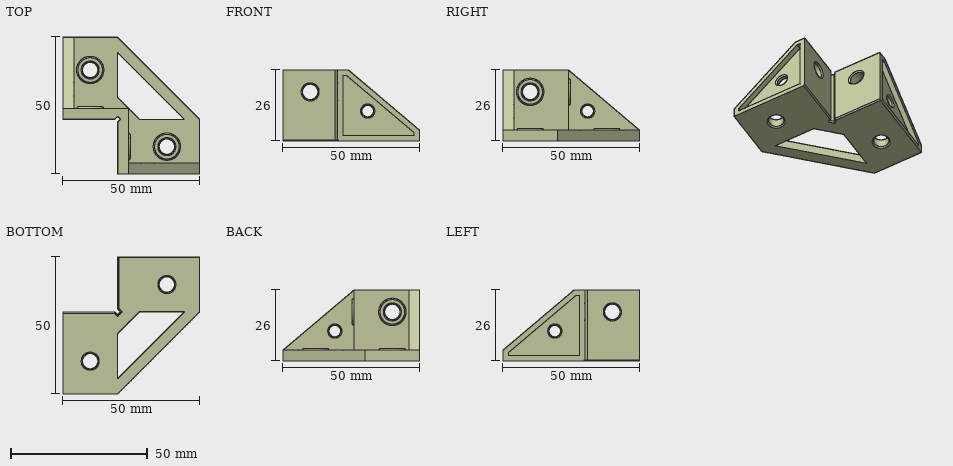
import cadquery as cq
import math

size = 50.0
height = 26.0
wall = 4.0
corner = 20.0
wall_back = corner + wall

edge_chamfer = 0.5
relief = 1.0
rim = 2.0
pocket_depth = 2.0

bolt_dia = 5.6
gusset_hole_dia = 4.2
hole_chamfer = 0.5
boss_top_dia = 9.0
boss_height = 0.7
boss_base_dia = 10.0
bolt_offset = 10.0
floor_bolt_far = 38.0
wall_bolt_z = 18.0
gusset_hole_x = 31.0
gusset_hole_z = 11.0


def cone(point, direction, start_dia, end_dia, length):
    """Truncated cone growing from a point along a direction."""
    return cq.Workplane(
        cq.Solid.makeCone(start_dia / 2, end_dia / 2, length, cq.Vector(*point), cq.Vector(*direction))
    )


def chamfered_hole(start, direction, diameter, length):
    """Cutter for a through hole with a chamfer at both ends."""
    mouth_dia = diameter + 2 * hole_chamfer
    axis = cq.Vector(*direction)
    end = cq.Vector(*start) + axis * length
    shaft = cq.Workplane(
        cq.Solid.makeCylinder(diameter / 2, length, cq.Vector(*start), axis)
    )
    entry = cone(start, direction, mouth_dia, diameter, hole_chamfer)
    exit_mouth = cone(end.toTuple(), (-axis).toTuple(), mouth_dia, diameter, hole_chamfer)
    return shaft.union(entry).union(exit_mouth)


def mirrored(shape):
    """Copy of a shape with X and Y exchanged."""
    return shape.rotate((0, 0, 0), (0, 0, 1), 90).mirror("YZ")


def both_sides(shape):
    """A shape together with its copy on the other leg."""
    return shape.union(mirrored(shape))


def floor_plate():
    outline = [
        (0, corner), (corner, corner), (corner, 0), (size, 0),
        (size, corner), (corner, size), (0, size),
    ]
    window_sum = size + corner - wall * math.sqrt(2)
    window_end = window_sum - corner
    window_start = corner + 2 * wall
    window = [
        (corner, window_start), (window_start, corner),
        (window_end, corner), (corner, window_end),
    ]
    plate = cq.Workplane("XY").polyline(outline).close().extrude(wall)
    return plate.cut(cq.Workplane("XY").polyline(window).close().extrude(wall))


def upright_wall():
    return cq.Workplane("XY").box(wall_back, wall, height, centered=False).translate((0, corner, 0))


def gusset():
    outline = [(corner, 0), (size, 0), (size, wall), (wall_back, height), (corner, height)]
    return cq.Workplane("XZ").polyline(outline).close().extrude(-wall)


def gusset_pocket():
    run = size - wall_back
    rise = height - wall
    slope_length = math.hypot(run, rise)
    left = corner + rim
    right = size - rim
    top = height - rim
    right_top = wall + rim * rise / run - rim * slope_length / run
    top_right = wall_back + rim * run / rise - rim * slope_length / rise
    outline = [(left, rim), (right, rim), (right, right_top), (top_right, top), (left, top)]
    return cq.Workplane("XZ").polyline(outline).close().extrude(-pocket_depth)


def inner_edge_chamfer():
    """Cutter for the bottom edge of one wall's outer face."""
    profile = [(corner, 0), (corner + edge_chamfer, 0), (corner, edge_chamfer)]
    return cq.Workplane("YZ").polyline(profile).close().extrude(corner + edge_chamfer)


def corner_relief():
    """Diamond groove along the inner corner, flared by the bottom edge chamfer."""
    side = relief * math.sqrt(2)
    flared_side = side + 2 * edge_chamfer
    plane = cq.Workplane("XY").center(corner, corner).transformed(rotate=(0, 0, 45))
    groove = plane.rect(side, side).extrude(height)
    flare = plane.rect(flared_side, flared_side).workplane(offset=edge_chamfer).rect(side, side).loft()
    return groove.union(flare)


floor_bolt = (bolt_offset, floor_bolt_far)
bolt_length = wall + boss_height

bosses = cone((*floor_bolt, wall), (0, 0, 1), boss_base_dia, boss_top_dia, boss_height)
bosses = bosses.union(
    cone((bolt_offset, wall_back, wall_bolt_z), (0, 1, 0), boss_base_dia, boss_top_dia, boss_height)
)

holes = chamfered_hole((*floor_bolt, 0), (0, 0, 1), bolt_dia, bolt_length)
holes = holes.union(
    chamfered_hole((bolt_offset, corner, wall_bolt_z), (0, 1, 0), bolt_dia, bolt_length)
)
holes = holes.union(
    chamfered_hole(
        (gusset_hole_x, pocket_depth, gusset_hole_z), (0, 1, 0), gusset_hole_dia, wall - pocket_depth
    )
)

result = floor_plate().union(both_sides(upright_wall())).union(both_sides(gusset()))
result = result.union(both_sides(bosses))
result = result.cut(both_sides(gusset_pocket()))
result = result.cut(both_sides(inner_edge_chamfer()))
result = result.cut(corner_relief())
result = result.cut(both_sides(holes))